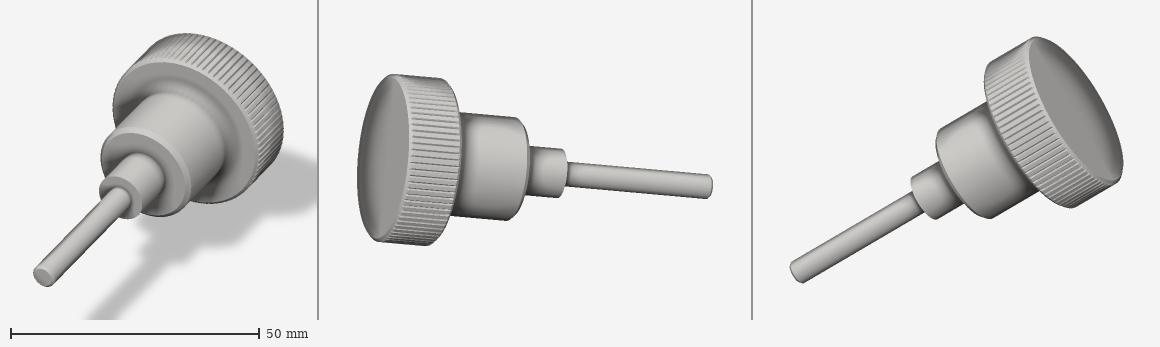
import cadquery as cq

head_diameter = 34.0
head_length = 11.2
head_chamfer = 0.65
hub_diameter = 21.0
hub_chamfer = 0.9
neck_fillet_radius = 2.1
knob_length = 28.0

groove_count = 80
groove_width = 0.5
groove_depth = 0.3

collar_diameter = 10.0
collar_length = 9.5
pin_diameter = 5.0
pin_length = 32.0
pin_chamfer = 0.5

head_radius = head_diameter / 2
hub_radius = hub_diameter / 2
head_front_y = knob_length - head_length


def cylinder(diameter, start_y, length):
    """Cylinder about the Y axis, running from start_y toward +Y."""
    axis_plane = cq.Workplane("XZ", origin=(0, start_y, 0))
    return axis_plane.circle(diameter / 2).extrude(-length)


def make_groove_cutters():
    """V-shaped prisms around the rim, running the full length of the head."""
    opening_depth = 2 * groove_depth
    opening_half_width = groove_width / 2 * opening_depth / groove_depth
    bottom_radius = head_radius - groove_depth
    opening_radius = bottom_radius + opening_depth
    cutter = (
        cq.Workplane("XZ", origin=(0, head_front_y, 0))
        .moveTo(0, bottom_radius)
        .lineTo(opening_half_width, opening_radius)
        .lineTo(-opening_half_width, opening_radius)
        .close()
        .extrude(-head_length)
    )
    pitch_angle = 360 / groove_count
    return [
        cutter.rotate((0, 0, 0), (0, 1, 0), index * pitch_angle).val()
        for index in range(groove_count)
    ]


def make_knob():
    """Knurled head with a narrower hub, joined by a concave fillet."""
    fillet_start_y = head_front_y - neck_fillet_radius
    profile = (
        cq.Workplane("XY")
        .moveTo(0, 0)
        .lineTo(hub_radius - hub_chamfer, 0)
        .lineTo(hub_radius, hub_chamfer)
        .lineTo(hub_radius, fillet_start_y)
        .radiusArc((hub_radius + neck_fillet_radius, head_front_y), neck_fillet_radius)
        .lineTo(head_radius - head_chamfer, head_front_y)
        .lineTo(head_radius, head_front_y + head_chamfer)
        .lineTo(head_radius, knob_length - head_chamfer)
        .lineTo(head_radius - head_chamfer, knob_length)
        .lineTo(0, knob_length)
        .close()
    )
    blank = profile.revolve(360, (0, 0, 0), (0, 1, 0))
    knurled = blank.val().cut(*make_groove_cutters())
    return cq.Workplane(knurled).solids()


def make_stepped_pin():
    """Wide collar against the hub face, with a slender pin chamfered at its tip."""
    collar = cylinder(collar_diameter, -collar_length, collar_length)
    pin = cylinder(pin_diameter, -collar_length - pin_length, pin_length)
    pin = pin.faces("<Y").chamfer(pin_chamfer)
    return collar.union(pin)


knob = make_knob()
stepped_pin = make_stepped_pin()

result = cq.Compound.makeCompound([knob.val(), stepped_pin.val()])